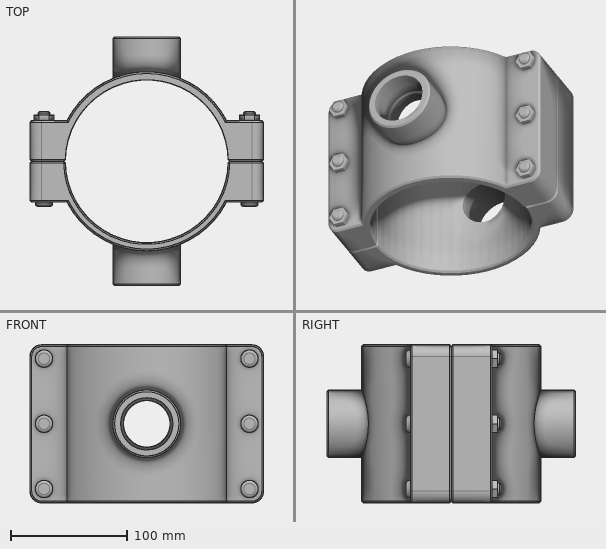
import cadquery as cq

height = 136.0
bore_radius = 70.0
shell_radius = 77.0
clamp_width = 201.0
lug_thickness = 35.0
lug_corner_radius = 10.0
edge_chamfer = 1.5

branch_radius = 58.2 / 2
branch_reach = 107.0
branch_rim_chamfer = 1.5
port_radius = 40.0 / 2
socket_radius = 45.0 / 2
socket_start = 81.0

bolt_x = 88.4
bolt_z = 56.0
bolt_radius = 10.0 / 2
bolt_end_height = 8.0
bolt_end_chamfer = 1.5
head_radius = 15.0 / 2
head_height = 3.6
head_round = 2.5
nut_across_corners = 17.3
nut_height = 4.7

bolt_places = [(x, z) for x in (-bolt_x, bolt_x) for z in (-bolt_z, 0, bolt_z)]


def rod(radius, y_start, y_end, x=0, z=0):
    """A cylinder that runs along +Y from y_start to y_end."""
    return cq.Workplane("XZ", origin=(x, y_start, z)).circle(radius).extrude(y_start - y_end)


def upright(radius):
    """A cylinder on the Z axis over the full height of the clamp."""
    return cq.Workplane("XY").circle(radius).extrude(height / 2, both=True)


def clamp_half():
    """The +Y half without fasteners: half a tube with a lug on each side, its outer edges chamfered."""
    lugs = (
        cq.Workplane("XZ")
        .rect(clamp_width, height)
        .extrude(-lug_thickness)
        .edges("|Y")
        .fillet(lug_corner_radius)
        .faces(">Y")
        .chamfer(edge_chamfer)
    )
    half_space = cq.Workplane("XY").box(
        2 * shell_radius, shell_radius, height, centered=(True, False, True)
    )
    half_drum = upright(shell_radius).faces("|Z").chamfer(edge_chamfer).intersect(half_space)
    half = lugs.union(half_drum).cut(upright(bore_radius))
    return half.faces("<Y").edges().chamfer(edge_chamfer)


def nut_half():
    """The +Y half, carrying the nuts and the bolt ends."""
    half = clamp_half()
    for x, z in bolt_places:
        nut = (
            cq.Workplane("XZ", origin=(x, lug_thickness, z))
            .polygon(6, nut_across_corners)
            .extrude(-nut_height)
        )
        bolt_end = (
            rod(bolt_radius, lug_thickness, lug_thickness + bolt_end_height, x, z)
            .faces(">Y")
            .chamfer(bolt_end_chamfer)
        )
        half = half.union(nut).union(bolt_end)
    return half


def head_half():
    """The -Y half, carrying the bolt heads; only this half has chamfered bore ends."""
    bore_ends = clamp_half().faces("|Z").edges(cq.selectors.RadiusNthSelector(0))
    half = bore_ends.chamfer(edge_chamfer)
    for x, z in bolt_places:
        head = (
            rod(head_radius, lug_thickness, lug_thickness + head_height, x, z)
            .faces(">Y")
            .fillet(head_round)
        )
        half = half.union(head)
    return half.mirror("XZ")


def bolted_clamp():
    """Both halves as one solid, with a port through the wall at each branch pipe."""
    return nut_half().union(head_half()).cut(rod(port_radius, -shell_radius, shell_radius))


def branch_pipe():
    """The +Y pipe: saddled onto the shell, with a throat as wide as the port, then a wider socket."""
    return (
        rod(branch_radius, 0, branch_reach)
        .faces(">Y")
        .chamfer(branch_rim_chamfer)
        .cut(upright(shell_radius))
        .cut(rod(port_radius, 0, branch_reach))
        .cut(rod(socket_radius, socket_start, branch_reach))
    )


clamp = bolted_clamp()
branch_pipes = [branch_pipe().rotate((0, 0, 0), (0, 0, 1), angle) for angle in (0, 180)]

result = cq.Compound.makeCompound([clamp.val(), *[pipe.val() for pipe in branch_pipes]])